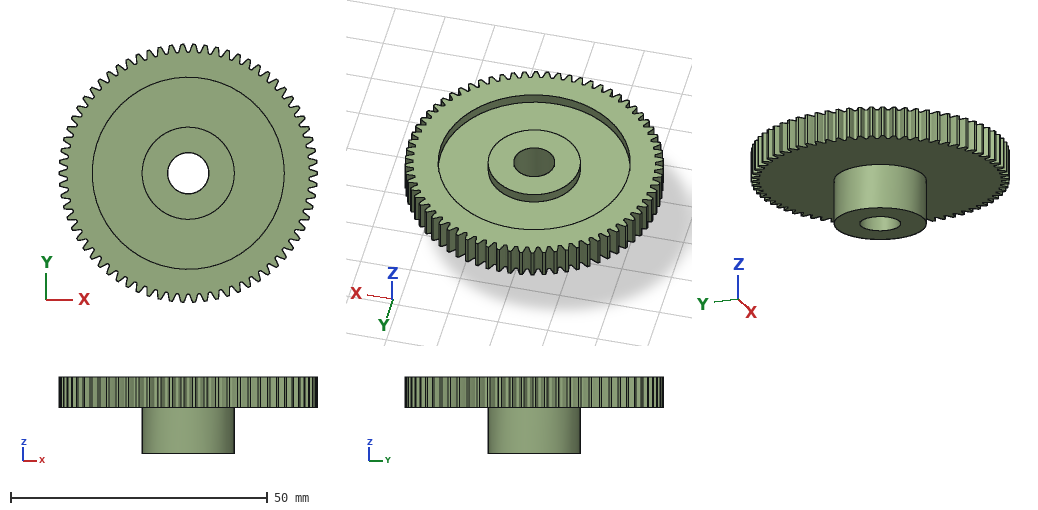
import cadquery as cq
import math

MODULE = 0.7
TOOTH_COUNT = 70
PRESSURE_ANGLE = math.radians(20)
DEDENDUM_FACTOR = 1.25
ROOT_FILLET = 0.25

GEAR_WIDTH = 6.0
HUB_DIAMETER = 18.0
HUB_LENGTH = 9.0
BORE_DIAMETER = 8.0
RECESS_DIAMETER = 37.5
RECESS_DEPTH = 2.0

PITCH_RADIUS = MODULE * TOOTH_COUNT / 2
TIP_RADIUS = PITCH_RADIUS + MODULE
ROOT_RADIUS = PITCH_RADIUS - DEDENDUM_FACTOR * MODULE
BASE_RADIUS = PITCH_RADIUS * math.cos(PRESSURE_ANGLE)
PITCH_ANGLE = 2 * math.pi / TOOTH_COUNT
TOTAL_HEIGHT = HUB_LENGTH + GEAR_WIDTH


def polar(radius, angle):
    """Cartesian point at a radius and an angle from +X."""
    return (radius * math.cos(angle), radius * math.sin(angle))


def involute(radius):
    """Polar angle swept by the involute between the base circle and a radius."""
    roll = math.acos(BASE_RADIUS / radius)
    return math.tan(roll) - roll


def half_tooth_angle(radius):
    """Half of the angle a tooth spans at a radius on its involute flank."""
    return PITCH_ANGLE / 4 + involute(PITCH_RADIUS) - involute(radius)


def tooth_gap():
    """Cutter for the gap centred on +X, reaching beyond the tip circle.

    Each flank is an arc through the involute's points at the root, pitch and tip circles.
    """
    radii = (ROOT_RADIUS, PITCH_RADIUS, TIP_RADIUS)
    upper = [polar(r, PITCH_ANGLE / 2 - half_tooth_angle(r)) for r in radii]
    lower = [(x, -y) for x, y in upper]
    root_upper, pitch_upper, tip_upper = upper
    root_lower, pitch_lower, tip_lower = lower
    outside = TIP_RADIUS + MODULE
    root_corners = cq.selectors.BoxSelector(
        (ROOT_RADIUS - ROOT_FILLET, -MODULE, 0),
        (ROOT_RADIUS + ROOT_FILLET, MODULE, GEAR_WIDTH),
    )
    return (
        cq.Workplane("XY")
        .moveTo(*root_lower)
        .threePointArc((ROOT_RADIUS, 0), root_upper)
        .threePointArc(pitch_upper, tip_upper)
        .lineTo(outside, tip_upper[1])
        .lineTo(outside, tip_lower[1])
        .lineTo(*tip_lower)
        .threePointArc(pitch_lower, root_lower)
        .close()
        .extrude(GEAR_WIDTH)
        .edges(root_corners)
        .edges("|Z")
        .fillet(ROOT_FILLET)
        .translate((0, 0, HUB_LENGTH))
    )


def toothed_disc():
    """Spur gear disc with a tooth centred on +X."""
    disc = cq.Workplane("XY").workplane(offset=HUB_LENGTH).circle(TIP_RADIUS).extrude(GEAR_WIDTH)
    gap = tooth_gap().val()
    gaps = [
        gap.rotate((0, 0, 0), (0, 0, 1), math.degrees((i + 0.5) * PITCH_ANGLE))
        for i in range(TOOTH_COUNT)
    ]
    return cq.Workplane(disc.val().cut(*gaps))


def hub():
    """Cylindrical hub below the gear disc."""
    return cq.Workplane("XY").circle(HUB_DIAMETER / 2).extrude(HUB_LENGTH)


def face_recess():
    """Ring-shaped recess in the top face, around the hub."""
    return (
        cq.Workplane("XY")
        .workplane(offset=TOTAL_HEIGHT - RECESS_DEPTH)
        .circle(RECESS_DIAMETER / 2)
        .circle(HUB_DIAMETER / 2)
        .extrude(RECESS_DEPTH)
    )


def bore():
    """Shaft bore through the full height."""
    return cq.Workplane("XY").circle(BORE_DIAMETER / 2).extrude(TOTAL_HEIGHT)


result = toothed_disc().union(hub()).cut(face_recess()).cut(bore())